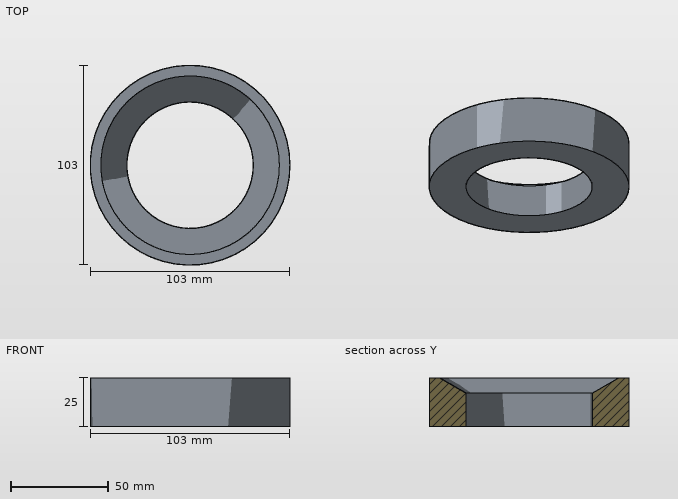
import cadquery as cq
import math

outer_diameter = 103.0
height = 25.0
bore_diameter = 65.0
seat_diameter = 92.0
seat_angle = 120.0

outer_radius = outer_diameter / 2
bore_radius = bore_diameter / 2
seat_radius = seat_diameter / 2
seat_depth = (seat_radius - bore_radius) / math.tan(math.radians(seat_angle / 2))

section = (
    cq.Workplane("XZ")
    .moveTo(bore_radius, 0)
    .lineTo(outer_radius, 0)
    .lineTo(outer_radius, height)
    .lineTo(seat_radius, height)
    .lineTo(bore_radius, height - seat_depth)
    .close()
)

result = section.revolve(360, (0, 0, 0), (0, 1, 0))